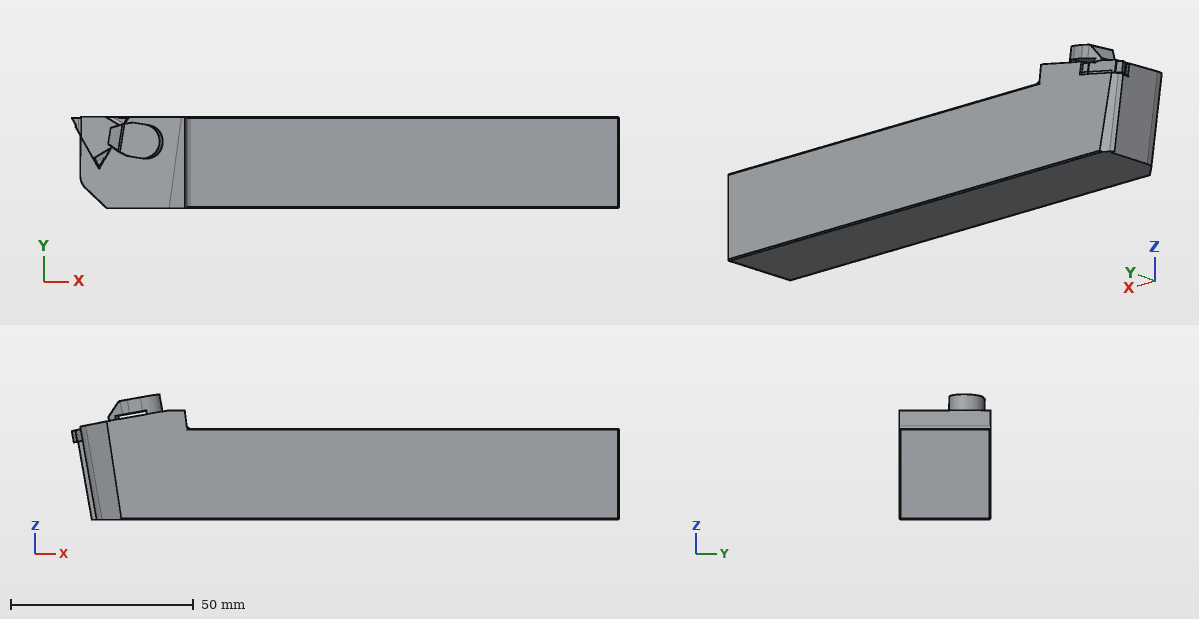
import cadquery as cq
import math

OVERALL_LENGTH = 149.98
SHANK_SIZE = 25.0
HEAD_HEIGHT = 30.0
HEAD_STEP_TOP_X = 31.0
HEAD_STEP_FOOT_X = 31.6
STEP_FILLET = 0.9
SHANK_EDGE_CHAMFER = 0.4

RAKE_ANGLE = 10.0
SIDE_TILT = 1.37
SEAT_ORIGIN = (-0.07, SHANK_SIZE / 2, 24.70)
HEAD_DEPTH = 60.0
TRIM_MARGIN = 25.0

FRONT_FACE_X = 2.5
FRONT_BEVEL_START_Y = -18.1
FRONT_BEVEL_ANGLE = 43.0
FRONT_BLEND = 4.5
NOSE_REACH = 1.3
NOSE_WIDTH = 1.95
NOSE_BEVEL = 1.0
NOSE_FLANK_SLOPE = 0.7

INSERT_EDGE = 16.5
INSERT_THICKNESS = 3.6
INSERT_CORNER = (-0.52, 0.07)
TOOTH_LENGTH = 3.0
TOOTH_INSET = 0.3
RAKE_GROOVE_END = 3.3
RAKE_GROOVE_FLOOR = 2.3
RAKE_GROOVE_DEPTH = 0.4

CLAMP_CENTER = (20.8, -6.8)
CLAMP_ANGLE = 9.0
CLAMP_RADIUS = 4.65
CLAMP_HEIGHT = 5.2
CLAMP_GAP = 1.4
CLAMP_SHOULDER_U = 3.7
CLAMP_TOP_FRONT_U = 5.8
CLAMP_TOP_FRONT_WIDTH = 8.0
CLAMP_LAND_LENGTH = 0.6
CLAMP_LAND_DROP = 0.25
CLAMP_TIP_U = 10.1
CLAMP_TIP_WIDTH = 4.6
CLAMP_TIP_LIP = 1.4
CLAMP_TIP_SETBACK = 0.3
CLAMP_PAD_BACK_U = 8.0
CLAMP_HEEL_U = -1.0


def seat_plane():
    rake = math.tan(math.radians(RAKE_ANGLE))
    tilt = math.tan(math.radians(SIDE_TILT))
    return cq.Plane(origin=SEAT_ORIGIN, xDir=(1, 0, rake), normal=(-rake, tilt, 1))


SEAT = seat_plane()


def make_shank():
    """Square bar running the whole length, chamfered along it and around its rear end."""
    shank = cq.Workplane("XY").box(
        OVERALL_LENGTH + TRIM_MARGIN, SHANK_SIZE, SHANK_SIZE, centered=(False, True, False)
    )
    return shank.translate((-TRIM_MARGIN, 0, 0)).edges(">X or (|X)").chamfer(SHANK_EDGE_CHAMFER)


def make_head_block():
    """Raised head over the front of the shank, its leaning rear wall blended into the shank's top."""
    lean = math.atan2(HEAD_STEP_FOOT_X - HEAD_STEP_TOP_X, HEAD_HEIGHT - SHANK_SIZE)
    tangent = STEP_FILLET * math.tan((math.pi / 2 - lean) / 2)
    fillet_foot = (HEAD_STEP_FOOT_X + tangent, SHANK_SIZE)
    fillet_top = (HEAD_STEP_FOOT_X - tangent * math.sin(lean), SHANK_SIZE + tangent * math.cos(lean))
    return (
        cq.Workplane("XZ", origin=(0, SHANK_SIZE / 2, 0))
        .moveTo(-TRIM_MARGIN, SHANK_SIZE / 2)
        .lineTo(HEAD_STEP_FOOT_X, SHANK_SIZE / 2)
        .lineTo(HEAD_STEP_FOOT_X, SHANK_SIZE)
        .lineTo(*fillet_foot)
        .radiusArc(fillet_top, STEP_FILLET)
        .lineTo(HEAD_STEP_TOP_X, HEAD_HEIGHT)
        .lineTo(-TRIM_MARGIN, HEAD_HEIGHT)
        .close()
        .extrude(SHANK_SIZE)
    )


def make_head_envelope():
    """Head outline run down square to the seating plane; its top face trims the head's slope."""
    far = OVERALL_LENGTH + 2 * TRIM_MARGIN
    side = 2 * SHANK_SIZE
    bevel_run = side * math.tan(math.radians(FRONT_BEVEL_ANGLE))
    nose_x = FRONT_FACE_X - NOSE_REACH
    bevel_top = (FRONT_FACE_X, FRONT_BEVEL_START_Y)
    envelope = (
        cq.Workplane(SEAT)
        .moveTo(FRONT_FACE_X, -NOSE_WIDTH)
        .lineTo(*bevel_top)
        .lineTo(FRONT_FACE_X + side, FRONT_BEVEL_START_Y - bevel_run)
        .lineTo(far, FRONT_BEVEL_START_Y - bevel_run)
        .lineTo(far, side)
        .lineTo(nose_x + NOSE_BEVEL + side / NOSE_FLANK_SLOPE, side - NOSE_WIDTH + NOSE_BEVEL)
        .lineTo(nose_x + NOSE_BEVEL, -NOSE_WIDTH + NOSE_BEVEL)
        .lineTo(nose_x, -NOSE_WIDTH)
        .close()
        .extrude(-HEAD_DEPTH)
    )
    bevel_edge = SEAT.toWorldCoords((*bevel_top, -HEAD_DEPTH / 2))
    return envelope.edges(cq.selectors.NearestToPointSelector(bevel_edge.toTuple())).fillet(FRONT_BLEND)


def make_clamp():
    """Clamp standing on its heel, its nose pressing on the insert."""
    base = SEAT.toWorldCoords((*CLAMP_CENTER, 0))
    turn = math.radians(CLAMP_ANGLE)
    u_tip = SEAT.toWorldCoords((CLAMP_CENTER[0] - math.cos(turn), CLAMP_CENTER[1] + math.sin(turn), 0))
    u_axis = u_tip - base
    plan = cq.Plane(origin=base, xDir=u_axis, normal=SEAT.zDir)
    body = (
        cq.Workplane(plan)
        .moveTo(0, CLAMP_RADIUS)
        .lineTo(CLAMP_SHOULDER_U, CLAMP_RADIUS)
        .lineTo(CLAMP_TOP_FRONT_U, CLAMP_TOP_FRONT_WIDTH / 2)
        .lineTo(CLAMP_TIP_U, CLAMP_TIP_WIDTH / 2)
        .lineTo(CLAMP_TIP_U, -CLAMP_TIP_WIDTH / 2)
        .lineTo(CLAMP_TOP_FRONT_U, -CLAMP_TOP_FRONT_WIDTH / 2)
        .lineTo(CLAMP_SHOULDER_U, -CLAMP_RADIUS)
        .lineTo(0, -CLAMP_RADIUS)
        .threePointArc((-CLAMP_RADIUS, 0), (0, CLAMP_RADIUS))
        .close()
        .extrude(CLAMP_HEIGHT)
    )
    side = cq.Plane(origin=base, xDir=u_axis, normal=u_axis.cross(SEAT.zDir))
    profile = (
        cq.Workplane(side)
        .moveTo(-CLAMP_RADIUS, 0)
        .lineTo(CLAMP_HEEL_U, 0)
        .lineTo(CLAMP_HEEL_U, CLAMP_GAP)
        .lineTo(CLAMP_PAD_BACK_U, CLAMP_GAP)
        .lineTo(CLAMP_PAD_BACK_U, 0)
        .lineTo(CLAMP_TIP_U - CLAMP_TIP_SETBACK, 0)
        .lineTo(CLAMP_TIP_U, CLAMP_TIP_LIP)
        .lineTo(CLAMP_TOP_FRONT_U + CLAMP_LAND_LENGTH, CLAMP_HEIGHT - CLAMP_LAND_DROP)
        .lineTo(CLAMP_TOP_FRONT_U, CLAMP_HEIGHT)
        .lineTo(-CLAMP_RADIUS, CLAMP_HEIGHT)
        .close()
        .extrude(CLAMP_RADIUS, both=True)
    )
    return body.intersect(profile)


def insert_corner_frames():
    """One frame per insert corner: x runs along an edge and the body lies on its -y side."""
    frames = []
    x, y = INSERT_CORNER
    for heading in (0, -120, -240):
        along = math.radians(heading)
        step = (math.cos(along), math.sin(along))
        origin = SEAT.toWorldCoords((x, y, 0))
        x_dir = SEAT.toWorldCoords((x + step[0], y + step[1], 0)) - origin
        frames.append(cq.Plane(origin=origin, xDir=x_dir, normal=SEAT.zDir))
        x += INSERT_EDGE * step[0]
        y += INSERT_EDGE * step[1]
    return frames


def make_triangle():
    """Full triangle of the insert, which is also the shape of its pocket."""
    half = INSERT_EDGE / 2
    return (
        cq.Workplane(insert_corner_frames()[0])
        .polyline([(0, 0), (INSERT_EDGE, 0), (half, -half * math.sqrt(3))])
        .close()
        .extrude(-INSERT_THICKNESS)
    )


def make_tooth_relief(frame):
    """Thin strips taken off both flanks of a corner, leaving a narrower pointed tooth."""
    strip = cq.Workplane(frame).rect(2 * TOOTH_LENGTH, 2 * TOOTH_INSET).extrude(-INSERT_THICKNESS)
    return strip.union(strip.rotate(frame.origin.toTuple(), (frame.origin + frame.zDir).toTuple(), -60))


def make_rake_groove(frame):
    """Shallow groove across the top of a corner, rising in an arc to the top face."""
    side = cq.Plane(origin=frame.origin, xDir=frame.xDir, normal=frame.yDir)
    span = RAKE_GROOVE_END - RAKE_GROOVE_FLOOR
    halfway = math.radians(45)
    middle = (
        RAKE_GROOVE_FLOOR + span * math.sin(halfway),
        RAKE_GROOVE_DEPTH * math.cos(halfway),
    )
    return (
        cq.Workplane(side)
        .moveTo(-TOOTH_LENGTH, 0)
        .lineTo(-TOOTH_LENGTH, RAKE_GROOVE_DEPTH)
        .lineTo(RAKE_GROOVE_FLOOR, RAKE_GROOVE_DEPTH)
        .threePointArc(middle, (RAKE_GROOVE_END, 0))
        .close()
        .extrude(INSERT_EDGE, both=True)
    )


def make_insert():
    insert = make_triangle()
    for frame in insert_corner_frames():
        insert = insert.cut(make_tooth_relief(frame)).cut(make_rake_groove(frame))
    return insert


def make_holder():
    bar = make_shank().union(make_head_block())
    return bar.intersect(make_head_envelope()).cut(make_triangle()).union(make_clamp())


holder = make_holder()
insert = make_insert()
result = cq.Compound.makeCompound([holder.solids().val(), insert.solids().val()])